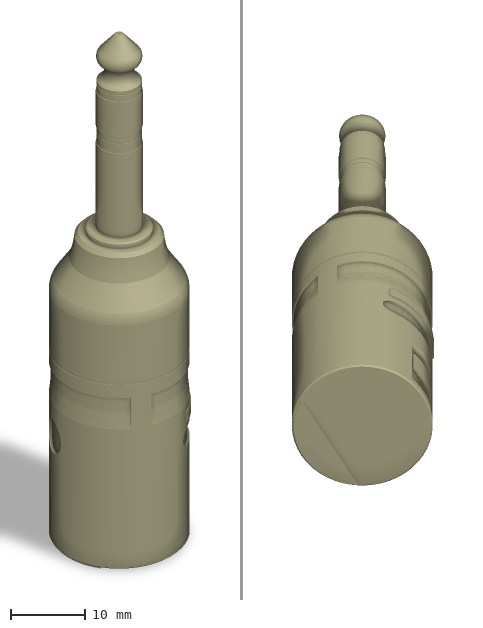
import cadquery as cq
import math

height = 79.67
shell_radius = 9.5
plug_radius = 3.175
insulator_radius = 3.07
collar_radius = 4.55

shell_foot_z = 0.25
shoulder_foot_z = 39.15
shoulder_top_z = 40.75
waist_z = 44.2
neck_top_z = 47.7
shell_top_z = 48.25
collar_top_z = 49.12
sleeve_top_z = 62.55
ring_foot_z = 65.2
ring_top_z = 70.75
tip_foot_z = 72.4

foot_chamfer = 0.2
shoulder_radius = 9.05
shoulder_bulge = 0.1
waist_radius = 6.75
neck_radius = 6.05
neck_hollow = 0.1
neck_round = 0.5
collar_chamfer = 0.2

tip_flat_radius = 0.6
bulb_radius = 3.12
bulb_z = 76.1
bulb_top = (2.8, 77.06)
bulb_foot = (2.65, 75.1)
tip_base = (2.75, 72.7)
tip_neck = (2.05, 73.85)

groove_depth = 0.06
seam_grooves = [(64.1, 0.24, insulator_radius), (71.8, 0.24, insulator_radius), (29.85, 0.45, shell_radius)]

grip_top_z = 27.55
grip_middle_z = 25.15
grip_foot_z = 22.55
grip_depth = 0.25
rib_half_width = 1.45

badge_z = 17.55
badge_radius = 2.6
badge_depth = 0.4

slot_z = 17.15
slot_length = 13.0
slot_height = 2.9
slot_depth = 0.35
label_z = 20.6
label_length = 11.6
label_height = 1.7
label_rise = 0.2

window_foot_z = 1.55
window_top_z = 11.3
window_width = 5.0
window_depth = 0.5
window_slope = 1.4
pad_foot_z = 4.75
pad_height = 3.8
pad_width = 4.0

lip_radius = 9.2
lip_inner_y = -5.1

clearance = 1.0

radial_plane = cq.Plane(origin=(0, 0, 0), xDir=(0, -1, 0), normal=(-1, 0, 0))


def axis_workplane(sketch_z):
    """Upright workplane on the axis; it extrudes toward the front, or toward the back if negative."""
    return cq.Workplane("XZ", origin=(0, 0, sketch_z))


def midpoint(start, end, offset):
    """Middle of a chord in the radius-height plane, moved outward by offset."""
    return ((start[0] + end[0]) / 2 + offset, (start[1] + end[1]) / 2)


def ring(inner, outer, foot_z, top_z):
    """Ring around the axis between two radii and two heights."""
    return cq.Workplane("XY").workplane(offset=foot_z).circle(outer).circle(inner).extrude(top_z - foot_z)


def turned_body():
    """Shell, collar and plug, revolved in one piece."""
    shoulder_foot = (shell_radius, shoulder_foot_z)
    shoulder_top = (shoulder_radius, shoulder_top_z)
    waist = (waist_radius, waist_z)
    neck_top = (neck_radius, neck_top_z)
    profile = (
        cq.Workplane(radial_plane)
        .moveTo(0, shell_foot_z)
        .lineTo(shell_radius - foot_chamfer, shell_foot_z)
        .lineTo(shell_radius, shell_foot_z + foot_chamfer)
        .lineTo(*shoulder_foot)
        .threePointArc(midpoint(shoulder_foot, shoulder_top, shoulder_bulge), shoulder_top)
        .lineTo(*waist)
        .threePointArc(midpoint(waist, neck_top, -neck_hollow), neck_top)
        .lineTo(neck_radius - neck_round, shell_top_z)
        .lineTo(collar_radius, shell_top_z)
        .lineTo(collar_radius, collar_top_z - collar_chamfer)
        .lineTo(collar_radius - collar_chamfer, collar_top_z)
        .lineTo(plug_radius, collar_top_z)
        .lineTo(plug_radius, sleeve_top_z)
        .lineTo(insulator_radius, sleeve_top_z)
        .lineTo(insulator_radius, ring_foot_z)
        .lineTo(plug_radius, ring_foot_z)
        .lineTo(plug_radius, ring_top_z)
        .lineTo(insulator_radius, ring_top_z)
        .lineTo(insulator_radius, tip_foot_z)
        .lineTo(*tip_base)
        .threePointArc(tip_neck, bulb_foot)
        .threePointArc((bulb_radius, bulb_z), bulb_top)
        .lineTo(tip_flat_radius, height)
        .lineTo(0, height)
        .close()
    )
    return profile.revolve(360, (0, 0, 0), (0, 1, 0))


def seam_groove(middle_z, width, surface_radius):
    half = width / 2
    return ring(surface_radius - groove_depth, surface_radius + clearance, middle_z - half, middle_z + half)


def grip_recesses():
    """Ring that is straight above and runs out to the shell surface below, parted by the two ribs."""
    floor_radius = shell_radius - grip_depth
    clear_radius = shell_radius + clearance
    cutter = (
        cq.Workplane(radial_plane)
        .moveTo(floor_radius, grip_top_z)
        .lineTo(clear_radius, grip_top_z)
        .lineTo(clear_radius, grip_foot_z)
        .lineTo(shell_radius, grip_foot_z)
        .lineTo(floor_radius, grip_middle_z)
        .close()
        .revolve(360, (0, 0, 0), (0, 1, 0))
    )
    ribs = cq.Workplane("XY").box(3 * shell_radius, 2 * rib_half_width, 2 * height)
    return cutter.cut(ribs)


def curved_pocket(through_cut, depth):
    """Part of a cut that lies within an even depth of the curved shell surface."""
    return through_cut.cut(cq.Workplane("XY").circle(shell_radius - depth).extrude(height))


def badge_pocket():
    through_cut = axis_workplane(badge_z).circle(badge_radius).extrude(2 * shell_radius)
    return curved_pocket(through_cut, badge_depth)


def slot_recess():
    through_cut = axis_workplane(slot_z).slot2D(slot_length, slot_height).extrude(-2 * shell_radius)
    return curved_pocket(through_cut, slot_depth)


def label_strip():
    """Raised strip that follows the curve of the shell."""
    strip = axis_workplane(label_z).rect(label_length, label_height).extrude(-2 * shell_radius)
    return strip.intersect(ring(shell_radius - label_rise, shell_radius + label_rise, 0, height))


def latch_window():
    """Flat-floored window with a sloping upper end, less the push pad."""
    floor_y = shell_radius - window_depth
    window = (
        cq.Workplane("YZ")
        .moveTo(floor_y, window_foot_z)
        .lineTo(shell_radius, window_foot_z)
        .lineTo(shell_radius, window_top_z)
        .lineTo(floor_y, window_top_z - window_slope)
        .close()
        .extrude(window_width / 2, both=True)
    )
    pad = cq.Workplane("XY").box(pad_width, 2 * shell_radius, pad_height, centered=(True, False, False))
    return window.cut(pad.translate((0, 0, pad_foot_z)))


def foot_lip():
    half_chord = math.sqrt(lip_radius**2 - lip_inner_y**2)
    return (
        cq.Workplane("XY")
        .moveTo(-half_chord, lip_inner_y)
        .threePointArc((0, -lip_radius), (half_chord, lip_inner_y))
        .close()
        .extrude(shell_foot_z + foot_chamfer)
    )


result = turned_body()
for middle_z, groove_width, surface_radius in seam_grooves:
    result = result.cut(seam_groove(middle_z, groove_width, surface_radius))
for recess in (grip_recesses(), badge_pocket(), slot_recess(), latch_window()):
    result = result.cut(recess)
result = result.union(label_strip()).union(foot_lip())